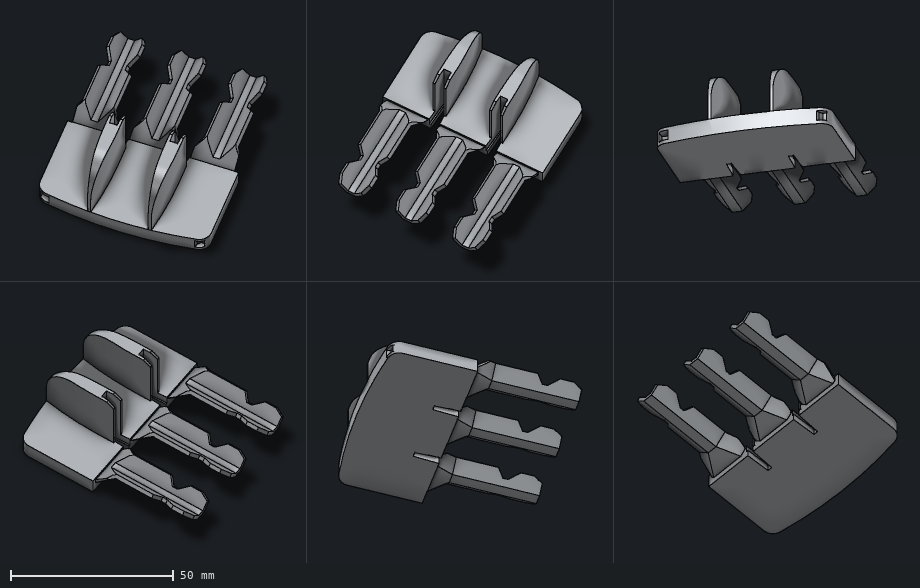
import cadquery as cq
import math

plate_width = 56.3
plate_depth = 30.15
plate_height = 5.5
corner_start = 24.7
front_bow = 2.1
corner_radius = 4.0

pocket_size = 3.2
pocket_floor = 1.25
pocket_outer = 26.9
left_pocket_end = 6.1
right_pocket_end = 4.3
right_pocket_inner = 24.0
flank_break_x = 24.5
flank_break_y = 3.25
flank_start_y = 2.0
flank_end_x = 25.4

pitch = 20.0
tine_tip = 65.0
sheet = 1.4
floor_half = 1.1
floor_top = 6.5
wall_length = 5.0
tip_wall_length = 3.3
neck_wall_length = 2.1
tip_shoulder = 62.0
neck_tip_side = 57.85
neck_back = 54.25
neck_front = 52.5
neck_root_side = 50.4
outer_tine_limit = 26.65

ramp_start = 36.8
ramp_half = 7.85
ramp_root_bottom = 2.55
ramp_floor_half = 5.85
ramp_wall_height = 3.5
ramp_crest = 32.2
ramp_slope = 0.88

fin_front = 0.3
fin_rear = 26.85
fin_top = 24.0
fin_spacing = 19.9
fin_half = 2.3
fin_nose_half = 0.5
fin_taper_start = 20.3
fin_radius = 11.95
fin_chamfer_length = 2.65
fin_chamfer_drop = 1.6

slot_depth = 8.45
slot_step = 2.7
slot_lower_rear_half = 1.2
slot_lower_end_half = 0.8
slot_upper_rear_half = 1.75
slot_upper_end_half = 1.25


def make_plate():
    half = plate_width / 2
    front_slope = math.atan2(2 * front_bow * corner_start, corner_start**2 - front_bow**2)
    corner_end = front_bow + corner_radius * math.cos(front_slope)
    mid_angle = front_slope / 2 + math.pi / 4
    centre_x = half - corner_radius
    corner_mid = (
        centre_x + corner_radius * math.sin(mid_angle),
        corner_end - corner_radius * math.cos(mid_angle),
    )
    return (
        cq.Workplane("XY")
        .moveTo(-corner_start, front_bow)
        .threePointArc((0, 0), (corner_start, front_bow))
        .threePointArc(corner_mid, (half, corner_end))
        .lineTo(half, plate_depth)
        .lineTo(-half, plate_depth)
        .lineTo(-half, corner_end)
        .threePointArc((-corner_mid[0], corner_mid[1]), (-corner_start, front_bow))
        .close()
        .extrude(plate_height)
    )


def make_pocket(outline):
    return cq.Workplane("XY", origin=(0, 0, pocket_floor)).polyline(outline).close().extrude(pocket_size)


def extrude_along_y(points, start, end):
    """Prism with an X-Z outline, running from Y = start to Y = end."""
    return cq.Workplane("XZ", origin=(0, start, 0)).polyline(points).close().extrude(start - end)


def mirrored(right_side):
    """Closed symmetric outline from its right-hand points, listed bottom to top."""
    return right_side + [(-x, z) for x, z in reversed(right_side)]


lean = math.sqrt(0.5)
floor_bottom = floor_top - sheet
bend_half = floor_half + sheet * math.tan(math.radians(22.5))
inner_lip = (floor_half + wall_length * lean, floor_top + wall_length * lean)
outer_lip = (inner_lip[0] + sheet * lean, inner_lip[1] - sheet * lean)


def make_trough():
    bend = [
        (bend_half, floor_bottom),
        (floor_half + sheet * lean, floor_top - sheet * lean),
        (floor_half, floor_top),
    ]
    floor = extrude_along_y(mirrored(bend), ramp_start, tine_tip)
    wall = (
        cq.Workplane("XY")
        .polyline([
            (0, ramp_start),
            (wall_length, ramp_start),
            (wall_length, neck_root_side),
            (neck_wall_length, neck_front),
            (neck_wall_length, neck_back),
            (wall_length, neck_tip_side),
            (wall_length, tip_shoulder),
            (tip_wall_length, tine_tip),
            (0, tine_tip),
        ])
        .close()
        .extrude(-sheet)
        .rotate((0, 0, 0), (0, 1, 0), -45)
        .translate((floor_half, 0, floor_top))
    )
    return floor.union(wall).union(wall.mirror("YZ"))


def make_side_limits(half_width):
    """Block that keeps only what lies within half_width of X = 0."""
    return cq.Workplane("XY").box(2 * half_width, 2 * tine_tip, 2 * fin_top)


def make_ramp():
    trough_end = mirrored([(bend_half, floor_bottom), outer_lip, inner_lip])
    flare_half = ramp_floor_half + ramp_wall_height
    flare_bottom = ramp_root_bottom + ramp_wall_height
    plate_end = mirrored([
        (ramp_floor_half, ramp_root_bottom),
        (flare_half, flare_bottom),
        (flare_half - sheet * lean, flare_bottom + sheet * lean),
    ])
    ramp = (
        cq.Workplane("XZ", origin=(0, plate_depth, 0))
        .polyline(plate_end)
        .close()
        .workplane(offset=plate_depth - ramp_start)
        .polyline(trough_end)
        .close()
        .loft(ruled=True)
    )
    reach = fin_top
    opening_half = floor_half + reach
    opening_outline = mirrored([(floor_half, floor_top), (opening_half, floor_top + reach)])
    opening = extrude_along_y(opening_outline, plate_depth, ramp_start)
    ramp_root_top = floor_top - (ramp_crest - plate_depth) * ramp_slope
    above_slope = (
        cq.Workplane("YZ")
        .polyline([
            (plate_depth, ramp_root_top),
            (ramp_start, ramp_root_top + (ramp_start - plate_depth) * ramp_slope),
            (ramp_start, reach),
            (plate_depth, reach),
        ])
        .close()
        .extrude(flare_half, both=True)
    )
    trim = make_side_limits(ramp_half)
    return ramp.cut(opening).cut(above_slope).intersect(trim)


def make_fin():
    side = (
        cq.Workplane("YZ")
        .moveTo(fin_front, plate_height)
        .lineTo(fin_front, fin_top - fin_radius)
        .radiusArc((fin_front + fin_radius, fin_top), fin_radius)
        .lineTo(fin_rear - fin_chamfer_length, fin_top)
        .lineTo(fin_rear, fin_top - fin_chamfer_drop)
        .lineTo(fin_rear, plate_height)
        .close()
        .extrude(fin_half, both=True)
    )
    taper_length = fin_taper_start - fin_front
    taper = fin_half - fin_nose_half
    flank_radius = (taper_length**2 + taper**2) / (2 * taper)
    plan = (
        cq.Workplane("XY")
        .moveTo(-fin_nose_half, fin_front)
        .lineTo(fin_nose_half, fin_front)
        .radiusArc((fin_half, fin_taper_start), -flank_radius)
        .lineTo(fin_half, fin_rear)
        .lineTo(-fin_half, fin_rear)
        .lineTo(-fin_half, fin_taper_start)
        .radiusArc((-fin_nose_half, fin_front), -flank_radius)
        .close()
        .extrude(fin_top)
    )
    return side.intersect(plan)


def make_slot_part(rear_half, end_half, bottom):
    end = plate_depth - slot_depth
    return (
        cq.Workplane("XY", origin=(0, 0, bottom))
        .polyline([
            (-rear_half, plate_depth),
            (-end_half, end),
            (end_half, end),
            (rear_half, plate_depth),
        ])
        .close()
        .extrude(fin_top)
    )


result = make_plate()

left_pocket_inner = pocket_outer - pocket_size
left_pocket = [
    (-pocket_outer, 0),
    (-left_pocket_inner, 0),
    (-left_pocket_inner, left_pocket_end),
    (-pocket_outer, left_pocket_end),
]
right_pocket = [
    (pocket_outer, 0),
    (right_pocket_inner, 0),
    (right_pocket_inner, flank_start_y),
    (flank_break_x, flank_break_y),
    (flank_end_x, right_pocket_end),
    (pocket_outer, right_pocket_end),
]
for outline in (left_pocket, right_pocket):
    result = result.cut(make_pocket(outline))

tine = make_trough().union(make_ramp())
tine_limit = make_side_limits(outer_tine_limit)
for index in (-1, 0, 1):
    result = result.union(tine.translate((index * pitch, 0, 0)).intersect(tine_limit))

fin = make_fin()
slot = make_slot_part(slot_lower_rear_half, slot_lower_end_half, 0).union(
    make_slot_part(slot_upper_rear_half, slot_upper_end_half, slot_step)
)
for side in (-1, 1):
    fin_x = side * fin_spacing / 2
    result = result.union(fin.translate((fin_x, 0, 0))).cut(slot.translate((fin_x, 0, 0)))